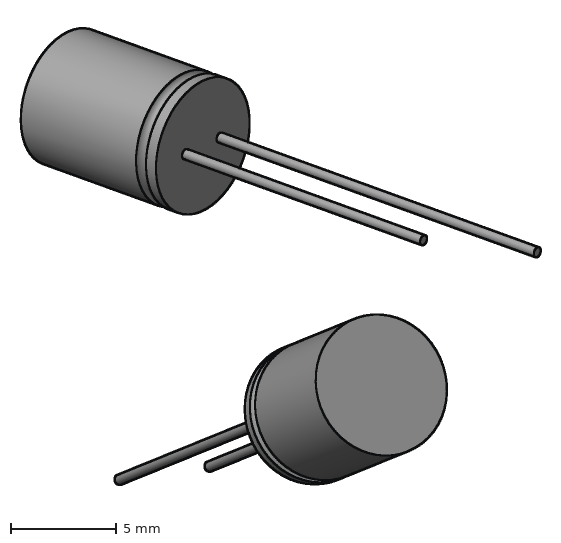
import cadquery as cq

can_diameter = 6.8
can_length = 8.52
groove_center_x = 7.58
groove_radius = 0.3
lead_diameter = 0.5
lead_pitch = 2.5
long_lead_end_x = 28.5
short_lead_end_x = 23.5

can_radius = can_diameter / 2


def make_can():
    """Solid can with a half-round crimp groove near the lead end."""
    groove_start_x = groove_center_x - groove_radius
    groove_end_x = groove_center_x + groove_radius
    half_profile = (
        cq.Workplane("XZ")
        .lineTo(0, can_radius)
        .lineTo(groove_start_x, can_radius)
        .threePointArc(
            (groove_center_x, can_radius - groove_radius),
            (groove_end_x, can_radius),
        )
        .lineTo(can_length, can_radius)
        .lineTo(can_length, 0)
        .close()
    )
    return half_profile.revolve(360, (0, 0, 0), (1, 0, 0))


def make_lead(offset_y, end_x):
    """Straight round wire that starts on the can's end face."""
    return (
        cq.Workplane("YZ", origin=(can_length, offset_y, 0))
        .circle(lead_diameter / 2)
        .extrude(end_x - can_length)
    )


can = make_can()

leads = []
for side, end_x in ((1, long_lead_end_x), (-1, short_lead_end_x)):
    leads.append(make_lead(side * lead_pitch / 2, end_x))

result = cq.Compound.makeCompound([can.val(), *[lead.val() for lead in leads]])